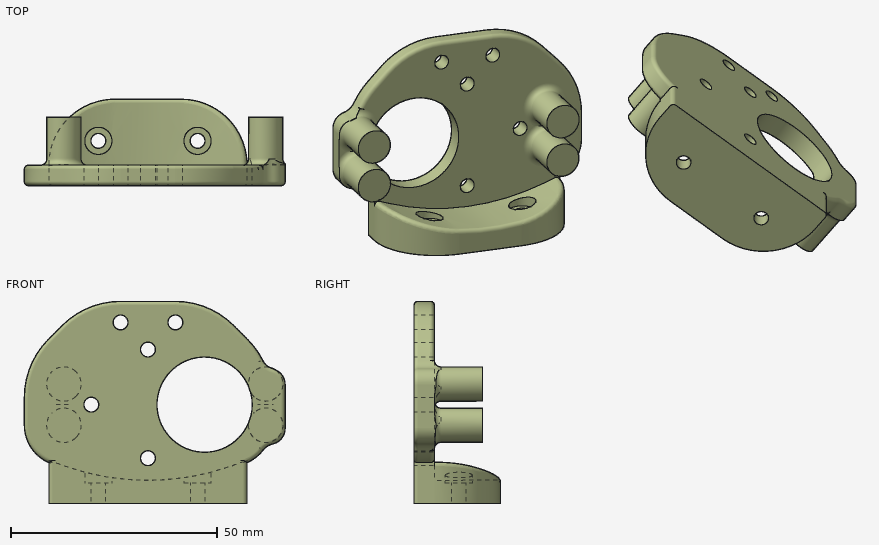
import cadquery as cq
import math


PLATE_THICKNESS = 5.0
EDGE_ROUND = 1.0
PLATE_TOP = 49.0
PLATE_LEFT = -30.0
PLATE_RIGHT = PLATE_LEFT + 63.25
SHOULDER_RADIUS = 20.0
HALF_TOP_FLAT = 6.65
LOBE_RADIUS = 10.0
LOBE_Z = 19.05
TAB_LEFT = 27.8
TAB_RADIUS = 4.0
TAB_UPPER_Z = 28.8
TAB_LOWER_Z = 18.3

HALF_FOOT = 24.05
FOOT_TOP = 10.45
SHELF_BACK = 21.0
SHELF_CORNER_RADIUS = SHELF_BACK - PLATE_THICKNESS
TROUGH_RADIUS = 60.1
TROUGH_BOTTOM = 5.6
TROUGH_HALF_ARC = 20.05

BOSS_RADIUS = 4.2
BOSS_TIP = 16.65
BOSS_FLARE = 1.5
BOSS_FLARE_END = PLATE_THICKNESS + BOSS_FLARE
BOSS_LEFT_X = -20.35
BOSS_RIGHT_X = 28.5
MOTOR_Z = 24.0
BOSS_HALF_SPACING = 5.0
BOSS_HEIGHTS = (MOTOR_Z - BOSS_HALF_SPACING, MOTOR_Z + BOSS_HALF_SPACING)

SCREW_RADIUS = 1.8
MOTOR_HOLE_RADIUS = 11.5
SIDE_HOLE_OFFSET = 13.7
UPPER_HOLE_Z = 37.3
LOWER_HOLE_Z = 11.0
TOP_HOLE_Z = 43.9
SHELF_HOLE_X = 12.0
SHELF_HOLE_Y = 10.9
COUNTERBORE_RADIUS = 3.3
COUNTERBORE_FLOOR = 5.0


def prism_along_y(profile, y_start, y_end):
    """Extrude a profile drawn in (X, Z) on the XZ plane from y_start to y_end."""
    return profile.extrude(-(y_end - y_start)).translate((0, y_start, 0))


def cylinder_y(x, z, radius, y_start, y_end):
    return prism_along_y(cq.Workplane("XZ").center(x, z).circle(radius), y_start, y_end)


def point_on(center, radius, angle):
    return (center[0] + radius * math.cos(angle), center[1] + radius * math.sin(angle))


def angle_to(start, end):
    return math.atan2(end[1] - start[1], end[0] - start[0])


def arc_to(path, center, radius, start, end):
    """Continue the path along an arc that begins where the path now ends."""
    middle = point_on(center, radius, (start + end) / 2)
    return path.threePointArc(middle, point_on(center, radius, end))


def neck_center(lobe, lobe_radius, corner, side):
    """Center of the hollow arc that touches a lobe and a tab corner; side is +1 above the tab, -1 below."""
    lobe_reach = lobe_radius + TAB_RADIUS
    corner_reach = 2 * TAB_RADIUS
    span = math.dist(lobe, corner)
    opening = math.acos((lobe_reach**2 + span**2 - corner_reach**2) / (2 * lobe_reach * span))
    return point_on(lobe, lobe_reach, angle_to(lobe, corner) + side * opening)


def plate_outline():
    """Outline of the plate above the foot, counterclockwise from the bottom left."""
    side_x = PLATE_LEFT + SHOULDER_RADIUS
    top_z = PLATE_TOP - SHOULDER_RADIUS
    side_z = top_z - (-side_x - HALF_TOP_FLAT)
    lobe_x = -(PLATE_LEFT + LOBE_RADIUS)
    right_lobe = (lobe_x, LOBE_Z)
    right_side = (-side_x, side_z)
    upper_corner = (PLATE_RIGHT - TAB_RADIUS, TAB_UPPER_Z)
    lower_corner = (PLATE_RIGHT - TAB_RADIUS, TAB_LOWER_Z)
    lower_neck = neck_center(right_lobe, LOBE_RADIUS, lower_corner, -1)
    upper_neck = neck_center(right_side, SHOULDER_RADIUS, upper_corner, 1)
    down, right, diagonal, up = -math.pi / 2, 0, math.pi / 4, math.pi / 2
    left, full_turn = math.pi, 2 * math.pi

    path = cq.Workplane("XZ").moveTo(-lobe_x, LOBE_Z - LOBE_RADIUS)
    path = path.lineTo(lobe_x, LOBE_Z - LOBE_RADIUS)
    path = arc_to(path, right_lobe, LOBE_RADIUS, down, angle_to(right_lobe, lower_neck))
    path = arc_to(path, lower_neck, TAB_RADIUS,
                  angle_to(lower_neck, right_lobe) % full_turn, angle_to(lower_neck, lower_corner))
    path = arc_to(path, lower_corner, TAB_RADIUS, angle_to(lower_corner, lower_neck), right)
    path = path.lineTo(PLATE_RIGHT, TAB_UPPER_Z)
    path = arc_to(path, upper_corner, TAB_RADIUS, right, angle_to(upper_corner, upper_neck))
    path = arc_to(path, upper_neck, TAB_RADIUS,
                  angle_to(upper_neck, upper_corner), angle_to(upper_neck, right_side))
    path = arc_to(path, right_side, SHOULDER_RADIUS, angle_to(right_side, upper_neck), diagonal)
    path = path.lineTo(*point_on((HALF_TOP_FLAT, top_z), SHOULDER_RADIUS, diagonal))
    path = arc_to(path, (HALF_TOP_FLAT, top_z), SHOULDER_RADIUS, diagonal, up)
    path = path.lineTo(-HALF_TOP_FLAT, PLATE_TOP)
    path = arc_to(path, (-HALF_TOP_FLAT, top_z), SHOULDER_RADIUS, up, 3 * diagonal)
    path = path.lineTo(*point_on((side_x, side_z), SHOULDER_RADIUS, 3 * diagonal))
    path = arc_to(path, (side_x, side_z), SHOULDER_RADIUS, 3 * diagonal, left)
    path = path.lineTo(PLATE_LEFT, LOBE_Z)
    path = arc_to(path, (-lobe_x, LOBE_Z), LOBE_RADIUS, left, 3 * up)
    return path.close()


def plate():
    body = prism_along_y(plate_outline(), 0, PLATE_THICKNESS)
    return body.faces("<Y or >Y").edges().fillet(EDGE_ROUND)


def foot():
    block = cq.Workplane("XY").box(2 * HALF_FOOT, PLATE_THICKNESS, FOOT_TOP, centered=(True, False, False))
    return block.edges("|Z and <Y").fillet(EDGE_ROUND)


def shelf():
    """D-shaped ledge behind the foot, hollowed from above by a wide shallow trough."""
    root_y = PLATE_THICKNESS / 2
    corner_x = HALF_FOOT - SHELF_CORNER_RADIUS
    path = cq.Workplane("XY").moveTo(-HALF_FOOT, root_y).lineTo(HALF_FOOT, root_y)
    path = path.lineTo(HALF_FOOT, PLATE_THICKNESS)
    path = arc_to(path, (corner_x, PLATE_THICKNESS), SHELF_CORNER_RADIUS, 0, math.pi / 2)
    path = path.lineTo(-corner_x, SHELF_BACK)
    path = arc_to(path, (-corner_x, PLATE_THICKNESS), SHELF_CORNER_RADIUS, math.pi / 2, math.pi)
    ledge = path.close().extrude(2 * FOOT_TOP)

    tilt = math.asin(TROUGH_HALF_ARC / TROUGH_RADIUS)
    arc_end_z = TROUGH_BOTTOM + TROUGH_RADIUS * (1 - math.cos(tilt))
    rim_x = HALF_FOOT + EDGE_ROUND
    rim_z = arc_end_z + (rim_x - TROUGH_HALF_ARC) * math.tan(tilt)
    section = (
        cq.Workplane("XZ")
        .moveTo(-rim_x, 0)
        .lineTo(rim_x, 0)
        .lineTo(rim_x, rim_z)
        .lineTo(TROUGH_HALF_ARC, arc_end_z)
        .threePointArc((0, TROUGH_BOTTOM), (-TROUGH_HALF_ARC, arc_end_z))
        .lineTo(-rim_x, rim_z)
        .close()
    )
    ledge = ledge.intersect(prism_along_y(section, 0, 2 * SHELF_BACK))
    above_floor = cq.selectors.BoxSelector(
        (-rim_x, root_y + EDGE_ROUND, EDGE_ROUND), (rim_x, SHELF_BACK + EDGE_ROUND, FOOT_TOP)
    )
    return ledge.edges("not (|Y or |Z)").edges(above_floor).fillet(EDGE_ROUND)


def boss(x, z):
    """Round post on the back of the plate, flared where it meets the plate."""
    flare_middle = BOSS_FLARE * (1 - math.sqrt(0.5))
    root_y = PLATE_THICKNESS / 2
    profile = (
        cq.Workplane("XY")
        .moveTo(0, root_y)
        .lineTo(BOSS_RADIUS + BOSS_FLARE, root_y)
        .lineTo(BOSS_RADIUS + BOSS_FLARE, PLATE_THICKNESS)
        .threePointArc(
            (BOSS_RADIUS + flare_middle, PLATE_THICKNESS + flare_middle),
            (BOSS_RADIUS, BOSS_FLARE_END),
        )
        .lineTo(BOSS_RADIUS, BOSS_TIP)
        .lineTo(0, BOSS_TIP)
        .close()
    )
    return profile.revolve(360, (0, 0, 0), (0, 1, 0)).translate((x, 0, z))


def boss_pair(x):
    lower_z, upper_z = BOSS_HEIGHTS
    return boss(x, lower_z).union(boss(x, upper_z))


def tab_back():
    """Back half of the tab with a sharp edge, and its bosses with flares trimmed to the plate outline."""
    half_thickness = PLATE_THICKNESS / 2
    slab = cq.Workplane("XY").box(PLATE_RIGHT - TAB_LEFT, half_thickness, PLATE_TOP, centered=False)
    slab = slab.translate((TAB_LEFT, half_thickness, 0))
    outline_prism = prism_along_y(plate_outline(), 0, BOSS_FLARE_END)
    trimmed = slab.union(boss_pair(BOSS_RIGHT_X)).intersect(outline_prism)
    for z in BOSS_HEIGHTS:
        trimmed = trimmed.union(cylinder_y(BOSS_RIGHT_X, z, BOSS_RADIUS, BOSS_FLARE_END, BOSS_TIP))
    return trimmed


def plate_holes():
    sites = [
        (-HALF_TOP_FLAT, TOP_HOLE_Z),
        (HALF_TOP_FLAT, TOP_HOLE_Z),
        (0, UPPER_HOLE_Z),
        (0, LOWER_HOLE_Z),
        (-SIDE_HOLE_OFFSET, MOTOR_Z),
    ]
    holes = cylinder_y(SIDE_HOLE_OFFSET, MOTOR_Z, MOTOR_HOLE_RADIUS, 0, BOSS_FLARE_END)
    for x, z in sites:
        holes = holes.union(cylinder_y(x, z, SCREW_RADIUS, 0, PLATE_THICKNESS))
    return holes


def shelf_holes():
    sites = [(-SHELF_HOLE_X, SHELF_HOLE_Y), (SHELF_HOLE_X, SHELF_HOLE_Y)]
    bores = cq.Workplane("XY").pushPoints(sites).circle(SCREW_RADIUS).extrude(FOOT_TOP)
    heads = cq.Workplane("XY").workplane(offset=COUNTERBORE_FLOOR).pushPoints(sites)
    return bores.union(heads.circle(COUNTERBORE_RADIUS).extrude(FOOT_TOP))


result = (
    plate()
    .union(foot())
    .union(shelf())
    .union(boss_pair(BOSS_LEFT_X))
    .union(tab_back())
    .cut(plate_holes())
    .cut(shelf_holes())
)